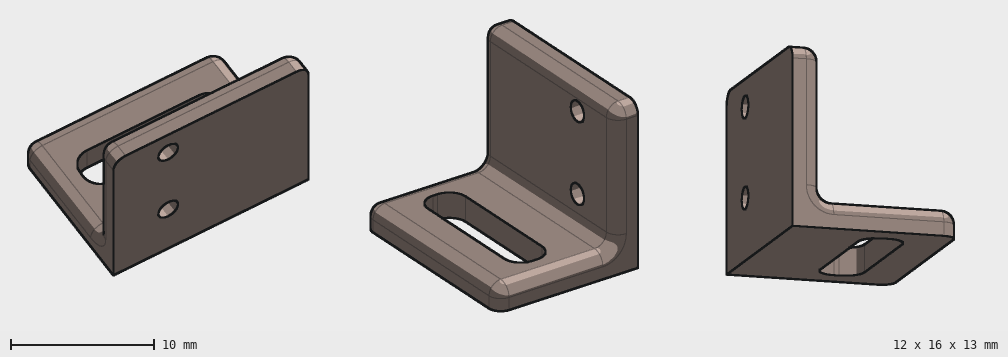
import cadquery as cq

depth = 12.0
width = 16.0
height = 13.0
thickness = 2.0
round_radius = thickness / 2

slot_length = 12.0
slot_width = 3.2
slot_corner_radius = 1.4
slot_front_gap = 1.5 * thickness

hole_diameter = 1.6
hole_offset_y = -3.5
hole_top_gap = thickness
hole_spacing = 6.5

front_x = -depth / 2
back_x = depth / 2
upright_x = back_x - thickness
tolerance = 0.002


def make_angle():
    """L-shaped body with its outline extruded across the full width."""
    return (
        cq.Workplane("XZ")
        .moveTo(front_x, 0)
        .lineTo(back_x, 0)
        .lineTo(back_x, height)
        .lineTo(upright_x, height)
        .lineTo(upright_x, thickness)
        .lineTo(front_x, thickness)
        .close()
        .extrude(width / 2, both=True)
    )


def round_inner_side(body):
    """Round the inner corner, the inner rims and the free corners of both legs."""
    base_face = cq.selectors.BoxSelector(
        (front_x - tolerance, -width, thickness - tolerance),
        (upright_x + tolerance, width, thickness + tolerance),
        boundingbox=True,
    )
    upright_face = cq.selectors.BoxSelector(
        (upright_x - tolerance, -width, thickness - tolerance),
        (upright_x + tolerance, width, height + tolerance),
        boundingbox=True,
    )
    base_corners = cq.selectors.StringSyntaxSelector("|Z and <X")
    upright_corners = cq.selectors.StringSyntaxSelector("|X and >Z")
    rounded_edges = base_face + upright_face + base_corners + upright_corners
    return body.edges(rounded_edges).fillet(round_radius)


def make_slot():
    """Cutter for the slot, with corners slightly tighter than a full round end."""
    slot_center_x = front_x + slot_front_gap + slot_width / 2
    return (
        cq.Workplane("XY")
        .center(slot_center_x, 0)
        .rect(slot_width, slot_length)
        .extrude(thickness)
        .edges("|Z")
        .fillet(slot_corner_radius)
    )


def make_holes():
    """Cutter for the two holes, one above the other."""
    upper_z = height - hole_top_gap
    return (
        cq.Workplane("YZ", origin=(upright_x, 0, 0))
        .pushPoints([(hole_offset_y, upper_z), (hole_offset_y, upper_z - hole_spacing)])
        .circle(hole_diameter / 2)
        .extrude(thickness)
    )


result = round_inner_side(make_angle()).cut(make_slot()).cut(make_holes())